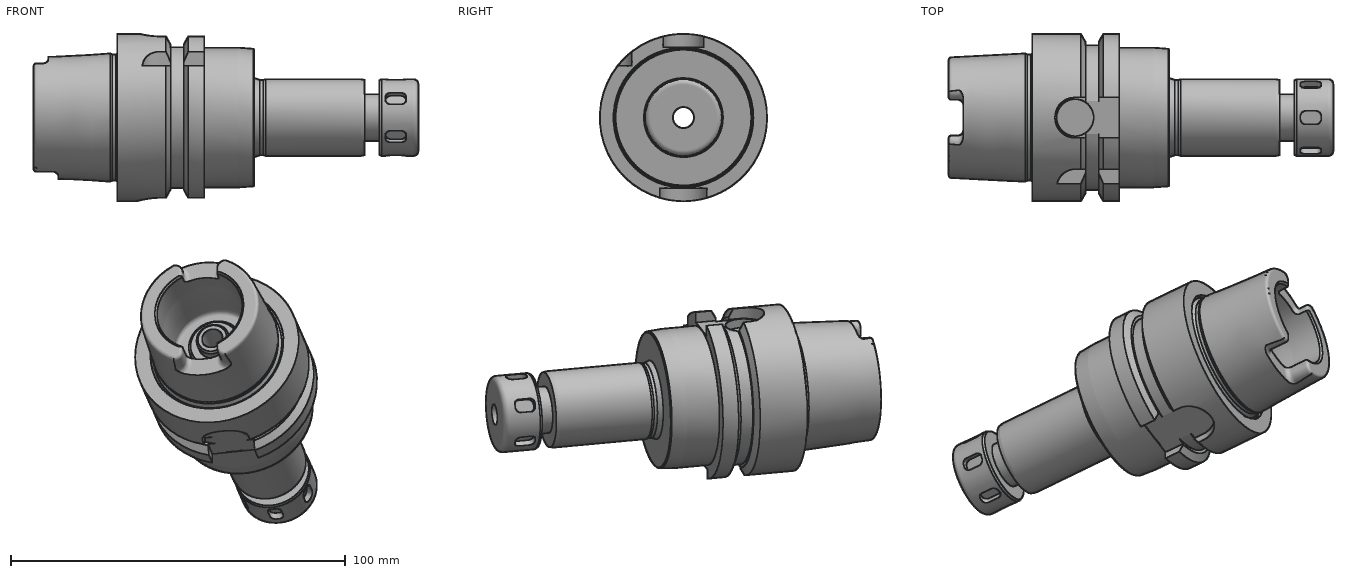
import cadquery as cq
import math


LENGTH = 115.0

NOSE_FACE_RADIUS = 18.0
NOSE_END_RADIUS = 19.2
NOSE_TAPER_END = 22.9
NOSE_EDGE_ROUND = 0.9
UNDERCUT_START = 23.6
UNDERCUT_RADIUS = 18.9
RELIEF_START = 24.6
RELIEF_MIDDLE = 25.8
RELIEF_MIDDLE_RADIUS = 19.7
RELIEF_END = 26.2
RELIEF_OUTER_RADIUS = 20.4

DRIVE_SLOT_HALF_WIDTH = 5.3
DRIVE_SLOT_FLARE_START = 13.8
DRIVE_SLOT_FLARE_RADIUS = 2.4
DRIVE_SLOT_FLOOR_ROUND = 1.5
UPPER_DRIVE_SLOT_DEPTH = 4.4
LOWER_DRIVE_SLOT_DEPTH = 7.4

FLANGE_DIAMETER = 50.0
FLANGE_RADIUS = FLANGE_DIAMETER / 2
FLANGE_START = 25.0
FLANGE_END = 51.1
GROOVE_START = 39.6
GROOVE_END = 46.2
GROOVE_FLANK_LENGTH = 1.4
GROOVE_FLANK_ANGLE = 30.0
GROOVE_FLOOR_RADIUS = 21.6

CUTTER_RADIUS = 5.5
CUTTER_CENTRE_X = 37.8
KEYWAY_FLOOR = 21.0
UPPER_KEYWAY_WIDTH = 12.1
LOWER_KEYWAY_WIDTH = 14.0
CHIP_HOLE_DEPTH = 2.8
NOTCH_CORNER = 15.4

BODY_RADIUS = 20.9
BODY_TAPER_START = 61.1
BODY_END_RADIUS = 20.6
BODY_END = 66.0
BODY_EDGE_CHAMFER = 0.3

SHANK_RADIUS = 11.5
SHANK_ROOT_RADIUS = 11.3
SHANK_ROOT_FILLET = 1.6
SHANK_ROOT_FILLET_HEIGHT = 0.6
SHANK_ROOT_END = 68.7
SHANK_START = 69.3
SHANK_END = 98.9
SHANK_END_CHAMFER = 1.2
SHANK_END_DROP = 0.2
NECK_RADIUS = 7.0

NUT_START = 103.3
NUT_RADIUS = 11.5
NUT_BACK_CHAMFER = 0.7
NUT_BACK_DROP = 0.3
NUT_FRONT_ROUND = 1.6
NUT_SLOT_COUNT = 6
NUT_SLOT_LENGTH = 6.2
NUT_SLOT_WIDTH = 4.0
NUT_SLOT_CORNER = 1.6
NUT_SLOT_DEPTH = 2.1
NUT_SLOT_CENTRE_X = 108.2

MOUTH_RADIUS = 13.6
MOUTH_CHAMFER = 0.6
BORE_TAPER_START = 9.8
BORE_TAPER_END = 17.2
BORE_END_RADIUS = 12.8
BORE_DEPTH = 25.3
BORE_FLOOR_ROUND = 1.3
COLLAR_RADIUS = 8.0
COLLAR_FACE = 21.8
COLLAR_CHAMFER = 0.7
PIPE_RADIUS = 5.0
PIPE_FACE = 18.4
PIPE_CHAMFER = 0.6
THROUGH_RADIUS = 3.1


def turned_body():
    """Outer shape of the holder."""
    flank_drop = GROOVE_FLANK_LENGTH / math.tan(math.radians(GROOVE_FLANK_ANGLE))
    flank_radius = FLANGE_RADIUS - flank_drop
    groove_left = GROOVE_START + GROOVE_FLANK_LENGTH
    groove_right = GROOVE_END - GROOVE_FLANK_LENGTH
    outline = (
        cq.Workplane("XY")
        .moveTo(0, 0)
        .lineTo(0, NOSE_FACE_RADIUS - NOSE_EDGE_ROUND)
        .radiusArc((NOSE_EDGE_ROUND, NOSE_FACE_RADIUS), NOSE_EDGE_ROUND)
        .lineTo(NOSE_TAPER_END, NOSE_END_RADIUS)
        .lineTo(UNDERCUT_START, UNDERCUT_RADIUS)
        .lineTo(RELIEF_START, UNDERCUT_RADIUS)
        .lineTo(RELIEF_MIDDLE, RELIEF_MIDDLE_RADIUS)
        .lineTo(RELIEF_END, RELIEF_OUTER_RADIUS)
        .lineTo(FLANGE_START, RELIEF_OUTER_RADIUS)
        .lineTo(FLANGE_START, FLANGE_RADIUS)
        .lineTo(GROOVE_START, FLANGE_RADIUS)
        .lineTo(groove_left, flank_radius)
        .lineTo(groove_left, GROOVE_FLOOR_RADIUS)
        .lineTo(groove_right, GROOVE_FLOOR_RADIUS)
        .lineTo(groove_right, flank_radius)
        .lineTo(GROOVE_END, FLANGE_RADIUS)
        .lineTo(FLANGE_END, FLANGE_RADIUS)
        .lineTo(FLANGE_END, BODY_RADIUS)
        .lineTo(BODY_TAPER_START, BODY_RADIUS)
        .lineTo(BODY_END - BODY_EDGE_CHAMFER, BODY_END_RADIUS)
        .lineTo(BODY_END, BODY_END_RADIUS - BODY_EDGE_CHAMFER)
        .lineTo(BODY_END, SHANK_ROOT_RADIUS + SHANK_ROOT_FILLET_HEIGHT)
        .lineTo(BODY_END + SHANK_ROOT_FILLET, SHANK_ROOT_RADIUS)
        .lineTo(SHANK_ROOT_END, SHANK_ROOT_RADIUS)
        .lineTo(SHANK_START, SHANK_RADIUS)
        .lineTo(SHANK_END - SHANK_END_CHAMFER, SHANK_RADIUS)
        .lineTo(SHANK_END, SHANK_RADIUS - SHANK_END_DROP)
        .lineTo(SHANK_END, NECK_RADIUS)
        .lineTo(NUT_START, NECK_RADIUS)
        .lineTo(NUT_START, NUT_RADIUS - NUT_BACK_DROP)
        .lineTo(NUT_START + NUT_BACK_CHAMFER, NUT_RADIUS)
        .lineTo(LENGTH - NUT_FRONT_ROUND, NUT_RADIUS)
        .radiusArc((LENGTH, NUT_RADIUS - NUT_FRONT_ROUND), NUT_FRONT_ROUND)
        .lineTo(LENGTH, 0)
        .close()
    )
    return outline.revolve(360, (0, 0, 0), (1, 0, 0))


def nose_hollow():
    """Hollow of the nose around the coolant pipe, with the hole through the pipe."""
    outline = (
        cq.Workplane("XY")
        .moveTo(0, 0)
        .lineTo(0, MOUTH_RADIUS)
        .lineTo(MOUTH_CHAMFER, MOUTH_RADIUS - MOUTH_CHAMFER)
        .lineTo(BORE_TAPER_START, MOUTH_RADIUS - MOUTH_CHAMFER)
        .lineTo(BORE_TAPER_END, BORE_END_RADIUS)
        .lineTo(BORE_DEPTH - BORE_FLOOR_ROUND, BORE_END_RADIUS)
        .radiusArc((BORE_DEPTH, BORE_END_RADIUS - BORE_FLOOR_ROUND), BORE_FLOOR_ROUND)
        .lineTo(BORE_DEPTH, COLLAR_RADIUS)
        .lineTo(COLLAR_FACE + COLLAR_CHAMFER, COLLAR_RADIUS)
        .lineTo(COLLAR_FACE, COLLAR_RADIUS - COLLAR_CHAMFER)
        .lineTo(COLLAR_FACE, PIPE_RADIUS)
        .lineTo(PIPE_FACE + PIPE_CHAMFER, PIPE_RADIUS)
        .lineTo(PIPE_FACE, PIPE_RADIUS - PIPE_CHAMFER)
        .lineTo(PIPE_FACE, THROUGH_RADIUS)
        .lineTo(LENGTH, THROUGH_RADIUS)
        .lineTo(LENGTH, 0)
        .close()
    )
    return outline.revolve(360, (0, 0, 0), (1, 0, 0))


def drive_slot(depth):
    """Slot through the upper nose wall, flaring outward and rounded at its floor."""
    half = DRIVE_SLOT_HALF_WIDTH
    flare = DRIVE_SLOT_FLARE_RADIUS
    flare_end = DRIVE_SLOT_FLARE_START + flare
    outside = FLANGE_RADIUS
    profile = (
        cq.Workplane("YZ")
        .moveTo(-half, 0)
        .lineTo(-half, DRIVE_SLOT_FLARE_START)
        .radiusArc((-half - flare, flare_end), -flare)
        .lineTo(-outside, flare_end)
        .lineTo(-outside, outside)
        .lineTo(outside, outside)
        .lineTo(outside, flare_end)
        .lineTo(half + flare, flare_end)
        .radiusArc((half, DRIVE_SLOT_FLARE_START), -flare)
        .lineTo(half, 0)
        .close()
    )
    side_edges = "not(<Z or >Z or <Y or >Y)"
    cutter = profile.extrude(depth).faces(">X").edges(side_edges).fillet(DRIVE_SLOT_FLOOR_ROUND)
    plate = cq.Workplane("YZ").center(0, outside / 2).rect(2 * outside, outside).extrude(-NOSE_EDGE_ROUND)
    box_end = NOSE_EDGE_ROUND / 2
    box_side = outside - NOSE_EDGE_ROUND
    mouth_edges = cq.selectors.BoxSelector((-box_end, -box_side, box_end), (box_end, box_side, box_side))
    return cutter.union(plate).edges(mouth_edges).fillet(NOSE_EDGE_ROUND)


def open_slot(floor, centre_y, half_width):
    """Slot milled down to a floor, round at its front end and open at the rear of the flange."""
    height = FLANGE_RADIUS - floor
    run = FLANGE_END - CUTTER_CENTRE_X
    start = cq.Workplane("XY").workplane(offset=floor).center(CUTTER_CENTRE_X, centre_y)
    round_end = start.circle(half_width).extrude(height)
    straight = start.center(run / 2, 0).rect(run, 2 * half_width).extrude(height)
    return round_end.union(straight)


def keyway(width):
    """Keyway on the +Z side of the flange."""
    return open_slot(KEYWAY_FLOOR, 0, width / 2)


def chip_hole():
    """Blind round hole in the floor of the upper keyway."""
    return (
        cq.Workplane("XY")
        .workplane(offset=KEYWAY_FLOOR - CHIP_HOLE_DEPTH)
        .center(CUTTER_CENTRE_X, 0)
        .circle(CUTTER_RADIUS)
        .extrude(CHIP_HOLE_DEPTH)
    )


def orientation_notch():
    """Corner notch between the -Y and +Z sides of the flange."""
    return open_slot(NOTCH_CORNER, -NOTCH_CORNER - CUTTER_RADIUS, CUTTER_RADIUS)


def nut_slot():
    """Spanner slot on the +Z side of the nut."""
    return (
        cq.Workplane("XY")
        .workplane(offset=NUT_RADIUS - NUT_SLOT_DEPTH)
        .center(NUT_SLOT_CENTRE_X, 0)
        .rect(NUT_SLOT_LENGTH, NUT_SLOT_WIDTH)
        .extrude(2 * NUT_SLOT_DEPTH)
        .edges("|Z")
        .fillet(NUT_SLOT_CORNER)
    )


def about_axis(shape, angle):
    """Turn a shape about the X axis."""
    return shape.rotate((0, 0, 0), (1, 0, 0), angle)


result = turned_body()
result = result.cut(drive_slot(UPPER_DRIVE_SLOT_DEPTH))
result = result.cut(about_axis(drive_slot(LOWER_DRIVE_SLOT_DEPTH), 180))
result = result.cut(nose_hollow())

result = result.cut(keyway(UPPER_KEYWAY_WIDTH))
result = result.cut(about_axis(keyway(LOWER_KEYWAY_WIDTH), 180))
result = result.cut(chip_hole())
result = result.cut(orientation_notch())

for index in range(NUT_SLOT_COUNT):
    result = result.cut(about_axis(nut_slot(), index * 360 / NUT_SLOT_COUNT))